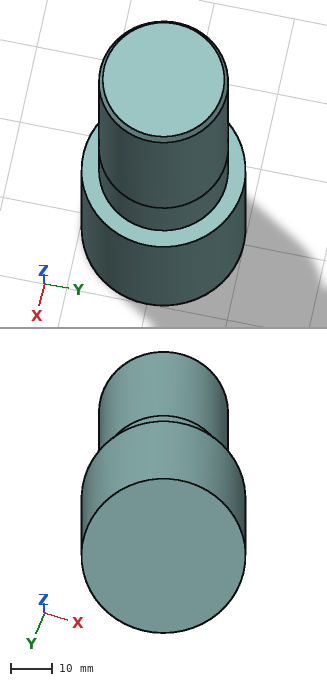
import cadquery as cq

base_diameter = 40.0
base_height = 41.3
shank_diameter = 31.5
total_height = 104.8
stub_height = 15.8
chamfer_height = 1.7
chamfer_width = 0.9

joint_height = base_height + stub_height
upper_shank_length = total_height - joint_height


def make_base():
    """Round base with a short stub that carries the upper shank."""
    collar = cq.Workplane("XY").circle(base_diameter / 2).extrude(base_height)
    return collar.faces(">Z").workplane().circle(shank_diameter / 2).extrude(stub_height)


def make_upper_shank():
    """Plain round shank standing on the stub, with a chamfered top rim."""
    shank = (
        cq.Workplane("XY")
        .workplane(offset=joint_height)
        .circle(shank_diameter / 2)
        .extrude(upper_shank_length)
    )
    return shank.faces(">Z").chamfer(chamfer_height, chamfer_width)


base = make_base()
upper_shank = make_upper_shank()

result = cq.Compound.makeCompound([base.val(), upper_shank.val()])